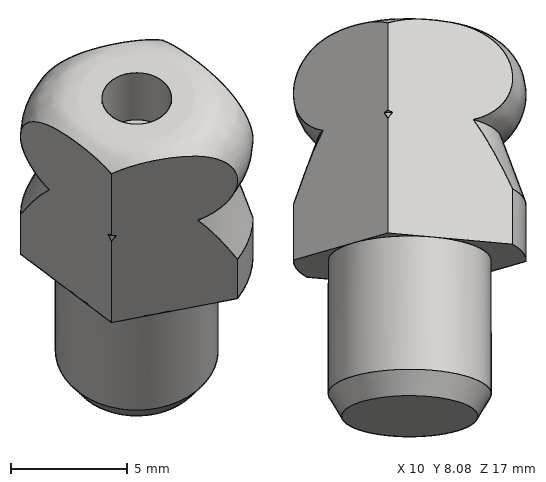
import cadquery as cq
import math

total_height = 17.0
stem_height = 7.0
stem_radius = 3.5
stem_chamfer_height = 1.0
stem_chamfer_angle = 30.0
collar_radius = 5.0
collar_height = 2.5
neck_height = 12.46
head_round_radius = 2.5
flat_spacing = 7.0
flat_angle = 30.0
hole_radius = 1.5
hole_depth = 2 * hole_radius

stem_tip_radius = stem_radius - stem_chamfer_height * math.tan(math.radians(stem_chamfer_angle))
collar_top = stem_height + collar_height
round_center_radius = collar_radius - head_round_radius
round_center_height = total_height - head_round_radius
neck_drop = round_center_height - neck_height
neck_radius = round_center_radius + math.sqrt(head_round_radius**2 - neck_drop**2)


def make_stem():
    """Round stem with a tapered lower end."""
    profile = (
        cq.Workplane("YZ")
        .lineTo(stem_tip_radius, 0)
        .lineTo(stem_radius, stem_chamfer_height)
        .lineTo(stem_radius, stem_height)
        .lineTo(0, stem_height)
        .close()
    )
    return profile.revolve(360, (0, 0, 0), (0, 1, 0))


def make_turned_head():
    """Collar, conical neck and rounded head before the flats are cut."""
    round_side = (collar_radius, round_center_height)
    profile = (
        cq.Workplane("YZ")
        .moveTo(0, stem_height)
        .lineTo(collar_radius, stem_height)
        .lineTo(collar_radius, collar_top)
        .lineTo(neck_radius, neck_height)
        .threePointArc(round_side, (round_center_radius, total_height))
        .lineTo(0, total_height)
        .close()
    )
    return profile.revolve(360, (0, 0, 0), (0, 1, 0))


def make_flats_prism():
    """Diamond prism whose four sides form the flats of the head."""
    half_y = flat_spacing / 2 / math.cos(math.radians(flat_angle))
    half_x = flat_spacing / 2 / math.sin(math.radians(flat_angle))
    corners = [(half_x, 0), (0, half_y), (-half_x, 0), (0, -half_y)]
    base = cq.Workplane("XY").workplane(offset=stem_height)
    return base.polyline(corners).close().extrude(total_height - stem_height)


def make_hole():
    """Blind hole in the top face."""
    base = cq.Workplane("XY").workplane(offset=total_height)
    return base.circle(hole_radius).extrude(-hole_depth)


head = make_turned_head().intersect(make_flats_prism())
result = make_stem().union(head).cut(make_hole())